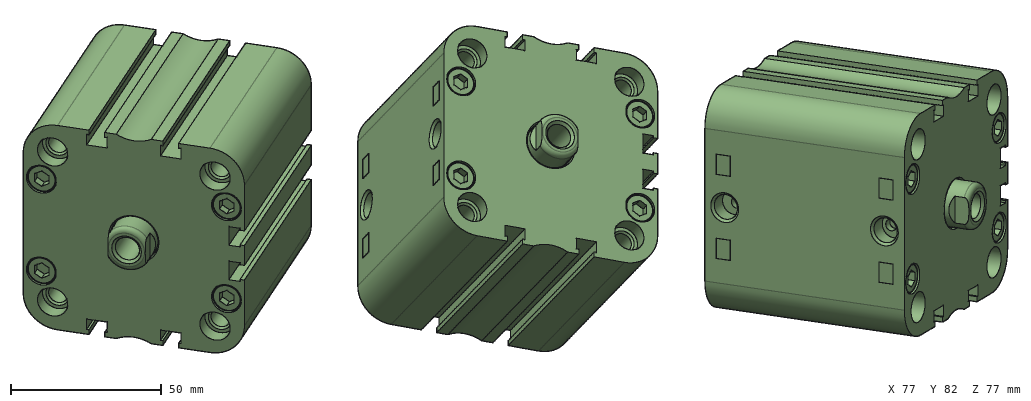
import cadquery as cq
import math

width = 77.0
half_width = width / 2
corner_radius = 12.0
body_length = 74.0

face_slot_offset = 12.85
face_slot_neck = 5.5
face_slot_width = 7.1
face_slot_neck_depth = 1.8
face_slot_depth = 5.7
side_slot_offset = 6.5
side_slot_neck = 5.5
side_slot_width = 7.0
side_slot_neck_depth = 1.5
side_slot_depth = 5.4

groove_half_width = 6.1
groove_depth = 1.5

mount_pitch = 56.5
mount_counterbore_diameter = 10.5
mount_counterbore_depth = 5.5
mount_chamfer_diameter = 8.05
mount_hole_diameter = 6.65

screw_pitch_x = 64.4
screw_pitch_z = 34.6
screw_recess_diameter = 10.3
screw_recess_depth = 1.0
screw_head_diameter = 9.8
screw_head_chamfer = 0.25
screw_head_sink = 0.5
hex_across_flats = 5.0
hex_depth = 3.0
hex_turn = 30.0

port_end_offset = 7.4
port_chamfer_diameter = 10.3
port_diameter = 8.57
port_depth = 7.0
port_bore_diameter = 4.0
port_bore_shift = 1.0
port_bore_depth = 3.0

label_length_y = 5.2
label_height_z = 7.0
label_offset_z = 14.6
label_end_offset = 6.8
label_depth = 0.15

rod_diameter = 16.0
rod_length = 8.0
rod_end_fillet = 1.75
rod_across_flats = 13.0
flat_start = 2.8
rod_thread_diameter = 8.38
rod_thread_chamfer_diameter = 10.3
rod_thread_depth = 20.0
rod_clearance_diameter = 16.5
rod_clearance_chamfer = 0.5
rod_clearance_depth = 3.0


def cylinder_y(diameter, start, length, x=0.0, z=0.0):
    """Cylinder along +Y from y = start."""
    base = cq.Vector(x, start, z)
    return cq.Workplane(cq.Solid.makeCylinder(diameter / 2, length, base, cq.Vector(0, 1, 0)))


def cone(big_diameter, small_diameter, origin, direction):
    """45 degree countersink that narrows along its direction."""
    depth = (big_diameter - small_diameter) / 2
    return cq.Workplane(
        cq.Solid.makeCone(big_diameter / 2, small_diameter / 2, depth, cq.Vector(*origin), cq.Vector(*direction))
    )


def box(x_size, y_size, z_size, x, y, z):
    """Box centred on the given point."""
    return cq.Workplane("XY").box(x_size, y_size, z_size).translate((x, y, z))


def t_slot(offset, neck, slot_width, neck_depth, depth):
    """T-slot cutter in the top face, centred on x = offset, through the whole body."""
    lip = box(neck, body_length, 2 * neck_depth, offset, body_length / 2, half_width)
    chamber_height = depth - neck_depth
    chamber_z = half_width - neck_depth - chamber_height / 2
    chamber = box(slot_width, body_length, chamber_height, offset, body_length / 2, chamber_z)
    return lip.union(chamber)


def make_block():
    block = box(width, body_length, width, 0, body_length / 2, 0)
    return block.edges("|Y").fillet(corner_radius)


def cut_slots_and_grooves(block):
    groove_radius = (groove_half_width**2 + groove_depth**2) / (2 * groove_depth)
    groove_z = half_width - groove_depth + groove_radius
    cutter = cylinder_y(2 * groove_radius, 0, body_length, 0, groove_z)
    for side in (-1, 1):
        offset = side * face_slot_offset
        slot = t_slot(offset, face_slot_neck, face_slot_width, face_slot_neck_depth, face_slot_depth)
        cutter = cutter.union(slot)
    block = block.cut(cutter).cut(cutter.mirror("XY"))
    for side in (-1, 1):
        offset = side * side_slot_offset
        slot = t_slot(offset, side_slot_neck, side_slot_width, side_slot_neck_depth, side_slot_depth)
        block = block.cut(slot.rotate((0, 0, 0), (0, 1, 0), 90))
    return block


def cut_mounting_holes(block):
    for x_side in (-1, 1):
        for z_side in (-1, 1):
            x = x_side * mount_pitch / 2
            z = z_side * mount_pitch / 2
            counterbore = cylinder_y(mount_counterbore_diameter, 0, mount_counterbore_depth, x, z)
            chamfer = cone(mount_chamfer_diameter, mount_hole_diameter, (x, mount_counterbore_depth, z), (0, 1, 0))
            hole = cylinder_y(mount_hole_diameter, 0, body_length, x, z)
            block = block.cut(counterbore).cut(chamfer).cut(hole)
    return block


def add_cap_screws(block):
    """Screw heads sunk just below the front face, with hexagon sockets that point up and down."""
    hex_diameter = hex_across_flats / math.cos(math.pi / 6)
    head_height = screw_recess_depth - screw_head_sink
    for x_side in (-1, 1):
        for z_side in (-1, 1):
            x = x_side * screw_pitch_x / 2
            z = z_side * screw_pitch_z / 2
            recess = cylinder_y(screw_recess_diameter, 0, screw_recess_depth, x, z)
            head = cylinder_y(screw_head_diameter, screw_head_sink, head_height, x, z)
            head = head.faces("<Y").edges().chamfer(screw_head_chamfer)
            socket = cq.Workplane("XZ").polygon(6, hex_diameter).extrude(-hex_depth)
            socket = socket.rotate((0, 0, 0), (0, 1, 0), hex_turn).translate((x, screw_head_sink, z))
            block = block.cut(recess.cut(head)).cut(socket)
    return block


def cut_port(block, y, inward):
    """Air port at y; its small bore is shifted towards the middle of the body."""
    face = (-half_width, y, 0)
    floor = (-half_width + port_depth, y + inward * port_bore_shift, 0)
    axis = cq.Vector(1, 0, 0)
    port = cq.Solid.makeCylinder(port_diameter / 2, port_depth, cq.Vector(*face), axis)
    bore = cq.Solid.makeCylinder(port_bore_diameter / 2, port_bore_depth, cq.Vector(*floor), axis)
    chamfer = cone(port_chamfer_diameter, port_diameter, face, (1, 0, 0))
    return block.cut(chamfer).cut(cq.Workplane(port)).cut(cq.Workplane(bore))


def cut_ports_and_labels(block):
    block = cut_port(block, port_end_offset, 1)
    block = cut_port(block, body_length - port_end_offset, -1)
    for y in (label_end_offset, body_length - label_end_offset):
        for side in (-1, 1):
            z = side * label_offset_z
            label = box(2 * label_depth, label_length_y, label_height_z, -half_width, y, z)
            block = block.cut(label)
    return block


def make_rod():
    rod = cylinder_y(rod_diameter, -rod_length, rod_length + rod_clearance_depth)
    rod = rod.faces("<Y").edges().fillet(rod_end_fillet)
    flat_half = rod_across_flats / 2
    reach = rod_diameter / 2
    slope = reach - flat_half
    outline = [
        (flat_half, -rod_length),
        (flat_half, -flat_start),
        (reach, -flat_start + slope),
        (reach, -rod_length),
    ]
    flat = cq.Workplane("XY").polyline(outline).close().extrude(rod_diameter / 2, both=True)
    return rod.cut(flat).cut(flat.mirror("YZ"))


def add_rod(block):
    clearance = cylinder_y(rod_clearance_diameter, 0, rod_clearance_depth)
    rim_diameter = rod_clearance_diameter + 2 * rod_clearance_chamfer
    rim = cone(rim_diameter, rod_clearance_diameter, (0, 0, 0), (0, 1, 0))
    thread = cylinder_y(rod_thread_diameter, -rod_length, rod_thread_depth)
    countersink = cone(rod_thread_chamfer_diameter, rod_thread_diameter, (0, -rod_length, 0), (0, 1, 0))
    return block.cut(clearance).cut(rim).union(make_rod()).cut(thread).cut(countersink)


block = make_block()
block = cut_slots_and_grooves(block)
block = cut_mounting_holes(block)
block = add_cap_screws(block)
block = cut_ports_and_labels(block)
result = add_rod(block)